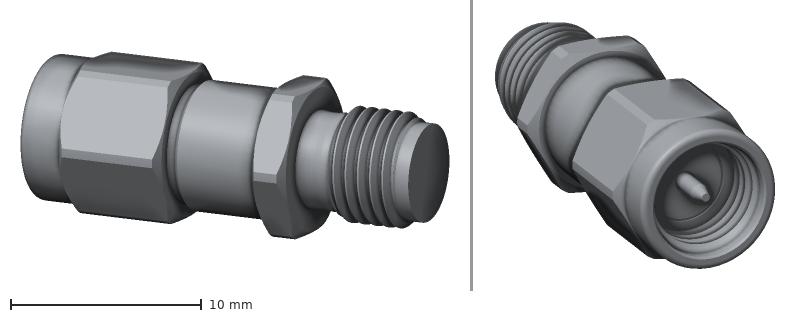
import cadquery as cq
import math

total_length = 21.85

hex_across_flats = 7.78
hex_across_corners = 8.71
hex_bevel_radius = 3.82
corner_radius = hex_across_corners / 2
hex_bevel_length = (corner_radius - hex_bevel_radius) * math.tan(math.radians(30))

crest_span = 2.82
turns_in_span = 4
thread_pitch = crest_span / turns_in_span

sleeve_radius = 3.87
sleeve_lip_fillet = 0.33
coupling_start = 2.27
coupling_end = 8.21
shoulder_length = 0.1
coupling_bevel_length = 0.33

neck_radius = 3.17
body_radius = 3.47
body_bevel_start = 8.63
body_bevel_length = body_radius - neck_radius
collar_start = 13.43
collar_end = 15.35

tail_radius = 2.62
relief_start = 15.48
relief_end = 16.73
relief_depth = 0.07
outer_thread_radius = 3.08
outer_thread_start = 17.12
outer_thread_end = 21.08
outer_crest_width = 0.09
outer_root_width = 0.1
outer_crest_x = 17.55
end_cone_length = 0.65

overlap = 0.02

socket_depth = 3.2
socket_radius = 2.73
mouth_radius = 3.15
mouth_depth = 0.72
mouth_chamfer = 0.1
inner_thread_radius = 3.1
inner_thread_start = 0.28
inner_root_width = 0.09
inner_crest_width = 0.09

ring_outer_radius = 2.23
ring_inner_radius = 2.07
ring_depth = 0.1
pin_radius = 0.45
pin_tip_radius = 0.22
pin_tip_x = 0.48
pin_taper_length = 0.87
pin_clearance_radius = 0.57


def revolve_profile(points):
    """Solid of revolution about X from (x, radius) points."""
    return cq.Workplane("XY").polyline(points).close().revolve(360, (0, 0, 0), (1, 0, 0))


def cylinder(start, end, radius):
    """Round bar on the X axis between two x positions."""
    return cq.Workplane("YZ", origin=(start, 0, 0)).circle(radius).extrude(end - start)


def bevelled_hexagon(start, front_bevel, end):
    """Hexagonal prism with flats on +Z and -Z, rounded corners and bevelled ends.

    The front bevel is a list of (x, radius) points from the front face up to the corner radius.
    """
    flats_diameter = hex_across_flats / math.cos(math.pi / 6)
    prism = cq.Workplane("YZ", origin=(start, 0, 0)).polygon(6, flats_diameter).extrude(end - start)
    rear_bevel = [(end - hex_bevel_length, corner_radius), (end, hex_bevel_radius)]
    envelope = revolve_profile([(start, 0)] + front_bevel + rear_bevel + [(end, 0)])
    return prism.intersect(envelope)


def helical_ridge(start, end, base_radius, base_width, tip_radius, tip_width):
    """Right-handed ridge with a trapezoidal section, wound about X from start to end."""
    helix = cq.Wire.makeHelix(
        thread_pitch, end - start, base_radius, cq.Vector(start, 0, 0), cq.Vector(1, 0, 0)
    )
    first = helix.startPoint()
    radial = cq.Vector(0, first.y, first.z).normalized()
    plane = cq.Plane(origin=(start, 0, 0), xDir=(1, 0, 0), normal=cq.Vector(1, 0, 0).cross(radial))
    section = cq.Workplane(plane).polyline([
        (-base_width / 2, base_radius),
        (-tip_width / 2, tip_radius),
        (tip_width / 2, tip_radius),
        (base_width / 2, base_radius),
    ]).close()
    return section.sweep(cq.Workplane(helix), isFrenet=True)


def coupling_nut():
    """Wrench hexagon with the round sleeve in front of it."""
    shoulder_end = coupling_start + shoulder_length
    front_bevel = [
        (coupling_start, sleeve_radius),
        (shoulder_end, sleeve_radius + shoulder_length),
        (shoulder_end + coupling_bevel_length, corner_radius),
    ]
    hexagon = bevelled_hexagon(coupling_start, front_bevel, coupling_end)
    sleeve = cylinder(0, shoulder_end, sleeve_radius)
    sleeve = sleeve.faces("<X").edges().fillet(sleeve_lip_fillet)
    return sleeve.union(hexagon)


def collar():
    """Wrench hexagon between the body and the tail."""
    front_bevel = [(collar_start, hex_bevel_radius), (collar_start + hex_bevel_length, corner_radius)]
    return bevelled_hexagon(collar_start, front_bevel, collar_end)


def body():
    """Neck behind the coupling nut, widening to the main body."""
    return revolve_profile([
        (coupling_end, 0),
        (coupling_end, neck_radius),
        (body_bevel_start, neck_radius),
        (body_bevel_start + body_bevel_length, body_radius),
        (collar_start, body_radius),
        (collar_start, 0),
    ])


def tail():
    """Plain tail with a shallow arc-shaped relief."""
    relief_middle = (relief_start + relief_end) / 2
    profile = (
        cq.Workplane("XY")
        .moveTo(collar_end, 0)
        .lineTo(collar_end, tail_radius)
        .lineTo(relief_start, tail_radius)
        .threePointArc((relief_middle, tail_radius - relief_depth), (relief_end, tail_radius))
        .lineTo(total_length, tail_radius)
        .lineTo(total_length, 0)
        .close()
    )
    return profile.revolve(360, (0, 0, 0), (1, 0, 0))


def outer_thread():
    """Thread on the tail, with both ends cut to 45 degree cones."""
    ridge = helical_ridge(
        outer_crest_x - 2 * thread_pitch, outer_thread_end + thread_pitch,
        tail_radius - overlap, thread_pitch - outer_root_width,
        outer_thread_radius, outer_crest_width,
    )
    envelope = revolve_profile([
        (outer_thread_start, 0),
        (outer_thread_start, tail_radius),
        (outer_thread_start + end_cone_length, tail_radius + end_cone_length),
        (outer_thread_end - end_cone_length, tail_radius + end_cone_length),
        (outer_thread_end, tail_radius),
        (outer_thread_end, 0),
    ])
    return ridge.intersect(envelope)


def socket():
    """Space inside the coupling nut: chamfered mouth, threaded bore and ring groove in the floor."""
    bore = revolve_profile([
        (0, 0),
        (0, mouth_radius + mouth_chamfer),
        (mouth_chamfer, mouth_radius),
        (mouth_depth, mouth_radius),
        (mouth_depth + mouth_radius - socket_radius, socket_radius),
        (socket_depth, socket_radius),
        (socket_depth, 0),
    ])
    groove = helical_ridge(
        inner_thread_start, socket_depth + thread_pitch,
        socket_radius - overlap, thread_pitch - inner_crest_width,
        inner_thread_radius, inner_root_width,
    )
    groove = groove.intersect(cylinder(0, socket_depth, mouth_radius))
    ring = cylinder(socket_depth, socket_depth + ring_depth, ring_outer_radius)
    ring = ring.cut(cylinder(socket_depth, socket_depth + ring_depth, ring_inner_radius))
    pin_clearance = cylinder(socket_depth, socket_depth + ring_depth, pin_clearance_radius)
    return bore.union(groove).union(ring).union(pin_clearance)


def contact_pin():
    """Centre pin with a tapered tip, rooted below the socket floor."""
    pin_root = socket_depth + 2 * ring_depth
    return revolve_profile([
        (pin_tip_x, 0),
        (pin_tip_x, pin_tip_radius),
        (pin_tip_x + pin_taper_length, pin_radius),
        (pin_root, pin_radius),
        (pin_root, 0),
    ])


threaded_tail = tail().union(outer_thread())
adapter = coupling_nut().union(body()).union(collar()).union(threaded_tail)
result = adapter.cut(socket()).union(contact_pin())